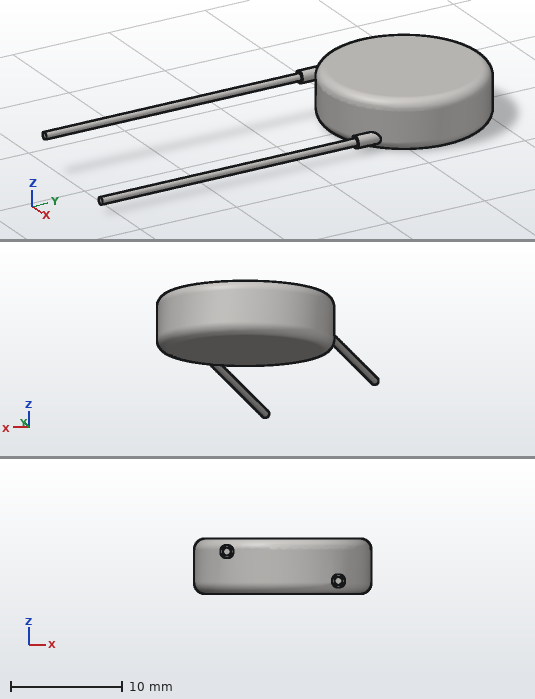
import cadquery as cq
import math

overall_length = 42.5
disc_diameter = 16.0
disc_height = 5.0
rim_radius = 1.0
lead_pitch = 10.05
lead_level_spacing = 2.65
lead_diameter = 0.72
sleeve_diameter = 1.2

disc_radius = disc_diameter / 2
sleeve_end_y = -disc_radius
lead_tip_y = disc_radius - overall_length
lead_root_y = -math.sqrt(disc_radius**2 - (lead_pitch / 2) ** 2)

lead_axes = [
    (-lead_pitch / 2, lead_level_spacing / 2),
    (lead_pitch / 2, -lead_level_spacing / 2),
]


def rod(axis, diameter, start_y, end_y):
    """Round rod along -Y, from start_y to end_y."""
    x, z = axis
    return (
        cq.Workplane("XZ", origin=(x, start_y, z))
        .circle(diameter / 2)
        .extrude(start_y - end_y)
    )


def make_housing():
    """Rounded disc with a sleeve and a blind lead hole at each lead."""
    disc = (
        cq.Workplane("XY")
        .cylinder(disc_height, disc_radius)
        .faces("|Z")
        .edges()
        .fillet(rim_radius)
    )
    for axis in lead_axes:
        disc = disc.union(rod(axis, sleeve_diameter, 0, sleeve_end_y))
    for axis in lead_axes:
        disc = disc.cut(rod(axis, lead_diameter, lead_root_y, sleeve_end_y))
    return disc


def make_lead(axis):
    """Straight wire seated in its sleeve and reaching the far end of the part."""
    return rod(axis, lead_diameter, lead_root_y, lead_tip_y)


housing = make_housing()
leads = [make_lead(axis) for axis in lead_axes]

result = cq.Compound.makeCompound([housing.val(), *[lead.val() for lead in leads]])